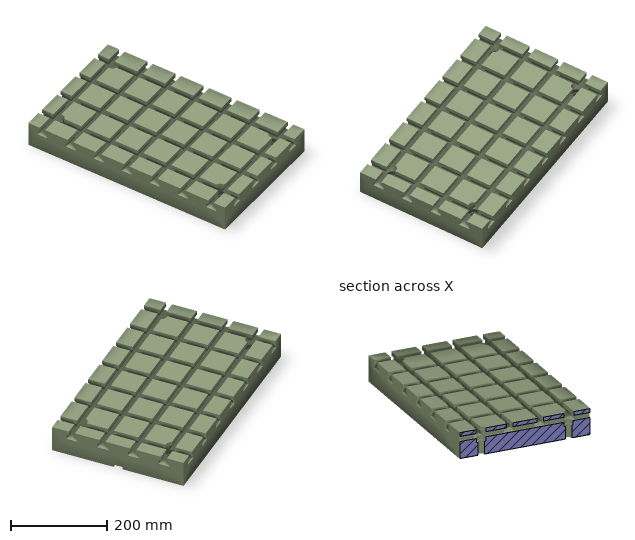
import cadquery as cq

length = 490.0
width = 300.0
height = 60.0

slots_across_length = 7
slot_pitch = length / slots_across_length
slots_across_width = 4
neck_width = 13.5
neck_depth = 10.0
head_width = 24.0
slot_depth = 20.0

hole_spacing_x = 400.0
hole_spacing_y = 200.0
hole_diameter = 13.5
counterbore_diameter = 20.0
counterbore_depth = 30.0

keyway_width = 20.0
keyway_height = 6.0
keyway_length = 20.0


def slot_offsets(count):
    """Slot centre positions, spread evenly about the middle of the plate."""
    return [(i - (count - 1) / 2) * slot_pitch for i in range(count)]


def t_slot(run):
    """T-slot cutter running along Y, centred, with its mouth at the top face."""
    neck_floor = height - neck_depth
    neck = cq.Workplane("XY").workplane(offset=neck_floor).rect(neck_width, run).extrude(neck_depth)
    head = (
        cq.Workplane("XY")
        .workplane(offset=height - slot_depth)
        .rect(head_width, run)
        .extrude(slot_depth - neck_depth)
    )
    return neck.union(head)


plate = cq.Workplane("XY").rect(length, width).extrude(height)

for x in slot_offsets(slots_across_length):
    plate = plate.cut(t_slot(width).translate((x, 0, 0)))

slot_along_x = t_slot(length).rotate((0, 0, 0), (0, 0, 1), 90)
for y in slot_offsets(slots_across_width):
    plate = plate.cut(slot_along_x.translate((0, y, 0)))

hole_centres = cq.Workplane("XY").rect(hole_spacing_x, hole_spacing_y, forConstruction=True).vertices()
through_holes = hole_centres.circle(hole_diameter / 2).extrude(height)
counterbores = (
    hole_centres.circle(counterbore_diameter / 2)
    .extrude(counterbore_depth)
    .translate((0, 0, height - counterbore_depth))
)
plate = plate.cut(through_holes).cut(counterbores)

keyway = (
    cq.Workplane("XY")
    .box(keyway_length, keyway_width, keyway_height, centered=(False, True, False))
    .translate((-length / 2, 0, 0))
)
result = plate.cut(keyway)